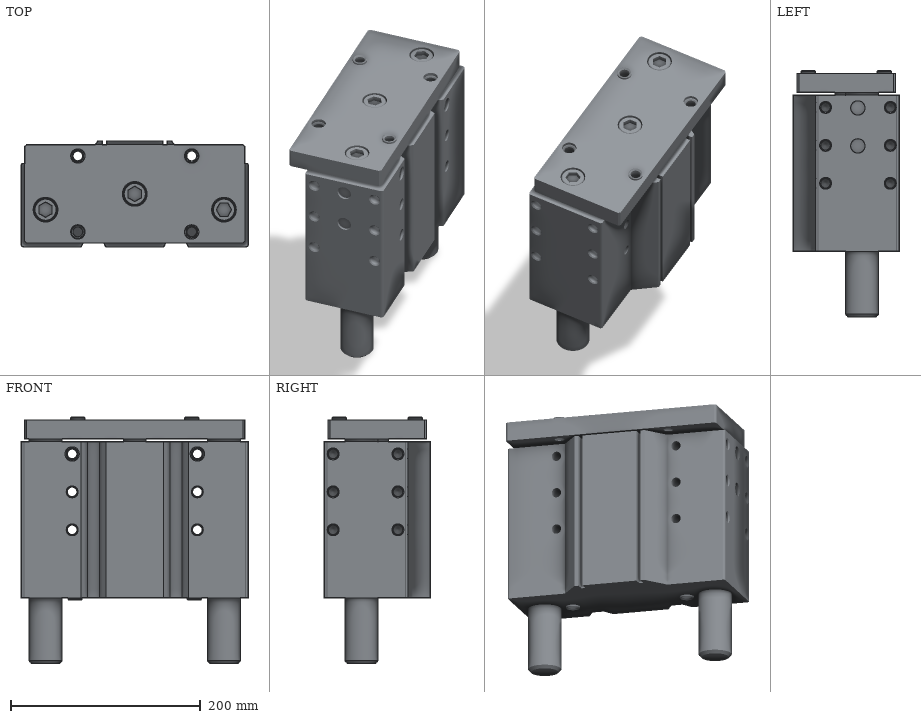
import cadquery as cq
import math

TOTAL_HEIGHT = 260.0
COLLAR_RISE = 2.9
PLATE_THICKNESS = 20.0
PLATE_GAP = 2.9
HOUSING_HEIGHT = 164.8
FOOT_COLLAR_RISE = 2.0
PLATE_TOP = TOTAL_HEIGHT - COLLAR_RISE
PLATE_BOTTOM = PLATE_TOP - PLATE_THICKNESS
HOUSING_TOP = PLATE_BOTTOM - PLATE_GAP
HOUSING_BOTTOM = HOUSING_TOP - HOUSING_HEIGHT

HOUSING_WIDTH = 240.0
HOUSING_DEPTH = 112.0
HALF_WIDTH = HOUSING_WIDTH / 2
FRONT_Y = -HOUSING_DEPTH / 2
BACK_Y = HOUSING_DEPTH / 2
FRONT_CORNER_RADIUS = 3.0
SHOULDER_Y = 32.2
SHOULDER_RADIUS = 2.3
RIDGE_HALF_WIDTH = 38.7
RIDGE_SLOPE_RUN = 17.7
GROOVE_OUTER_X = 56.7
GROOVE_FLOOR_OUTER_X = 49.6
GROOVE_FLOOR_INNER_X = 37.5
GROOVE_INNER_X = 30.5
GROOVE_DEPTH = 12.2
SENSOR_SLOT_X = 32.0
SENSOR_SLOT_WIDTH = 4.5
SENSOR_SLOT_DEPTH = 10.5

TAP_DIAMETER = 10.1
TAP_MOUTH_DIAMETER = 12.5
LOCATING_DIAMETER = 15.0
LOCATING_DEPTH = 3.0
HOLE_PITCH = 40.0
HOLE_ROW_COUNT = 3
TOP_ROW_DROP = 13.0
TOP_ROW_Z = HOUSING_TOP - TOP_ROW_DROP
FRONT_HOLE_X = 66.0
SIDE_HOLE_YS = (-46.5, 21.8)
SIDE_HOLE_DEPTH = 24.0
DRILL_TIP_ANGLE = 118.0
SIDE_HOLE_TIP = TAP_DIAMETER / 2 / math.tan(math.radians(DRILL_TIP_ANGLE / 2))
PORT_Y = -12.2
PORT_DROP = 0.5
PORT_DIAMETER = 15.0
PORT_DEPTH = 2.5
PORT_COUNT = 2
FOOT_COLLAR_X = 63.0
FOOT_BORE_DEPTH = 25.0

COLLAR_BORE_DIAMETER = 10.5
COLLAR_MOUTH_CHAMFER = 1.5
COLLAR_RIM_CHAMFER = 0.8

PLATE_WIDTH = 232.0
PLATE_DEPTH = 104.0
PLATE_CHAMFER = 2.0
PLATE_HOLE_X = 60.0
PLATE_HOLE_Y = 40.0

GUIDE_X = 94.0
GUIDE_Y = -16.6
GUIDE_DIAMETER = 35.0
GUIDE_CHAMFER = 3.0
PISTON_ROD_DIAMETER = 24.0
PISTON_ROD_DEPTH = 100.0
HEAD_DIAMETER = 24.0
HEAD_HEIGHT = 16.0
HEAD_CHAMFER = 0.8
COUNTERBORE_DIAMETER = 26.0
COUNTERBORE_DEPTH = 17.0
CLEARANCE_DIAMETER = 18.0
SHANK_DIAMETER = 16.6
SHANK_REACH = 26.0
HEX_ACROSS_FLATS = 14.0
HEX_SIDES = 6
HEX_DEPTH = 5.2

GUIDE_SPOTS = [(-GUIDE_X, GUIDE_Y), (GUIDE_X, GUIDE_Y)]
PISTON_SPOT = (0, 0)
SCREW_HEX_TURNS = [(GUIDE_SPOTS[0], 30), (PISTON_SPOT, 30), (GUIDE_SPOTS[1], 0)]
HEAD_SEAT_Z = PLATE_TOP - COUNTERBORE_DEPTH
ROW_HEIGHTS = [TOP_ROW_Z - row * HOLE_PITCH for row in range(HOLE_ROW_COUNT)]


def cylinder(x, y, bottom, top, diameter):
    """Upright cylinder between two levels."""
    return cq.Workplane("XY", origin=(x, y, bottom)).circle(diameter / 2).extrude(top - bottom)


def aimed_revolve(profile, point, direction):
    """Revolve a (radius, depth) profile about its depth axis, running from point along direction."""
    tool = cq.Workplane("XY").polyline(profile).close().revolve(360, (0, 0, 0), (0, 1, 0))
    upright_tool = tool.rotate((0, 0, 0), (1, 0, 0), 90).val()
    plane = cq.Plane(origin=point, normal=direction)
    return cq.Workplane(upright_tool.moved(cq.Location(plane)))


def tapped_hole(point, direction, depth, tip_depth=0.0):
    """Cutter for a tap-size bore with a 45 degree mouth chamfer and an optional conical tip."""
    radius = TAP_DIAMETER / 2
    mouth = TAP_MOUTH_DIAMETER / 2
    profile = [(0, 0), (mouth, 0), (radius, mouth - radius), (radius, depth), (0, depth + tip_depth)]
    return aimed_revolve(profile, point, direction)


def add_collar(body, base, direction, rise, bore_depth):
    """Add a bored locating collar standing on base; bore_depth counts from the collar rim."""
    outer = LOCATING_DIAMETER / 2
    bore = COLLAR_BORE_DIAMETER / 2
    ring_profile = [
        (0, 0),
        (outer, 0),
        (outer, rise - COLLAR_RIM_CHAMFER),
        (outer - COLLAR_RIM_CHAMFER, rise),
        (0, rise),
    ]
    bore_profile = [
        (0, rise),
        (bore + COLLAR_MOUTH_CHAMFER, rise),
        (bore, rise - COLLAR_MOUTH_CHAMFER),
        (bore, rise - bore_depth),
        (0, rise - bore_depth),
    ]
    body = body.union(aimed_revolve(ring_profile, base, direction))
    return body.cut(aimed_revolve(bore_profile, base, direction))


def housing_outline():
    """Right half of the cross-section, from the front centre to the back centre."""
    return [
        (0, FRONT_Y),
        (GROOVE_INNER_X, FRONT_Y),
        (GROOVE_FLOOR_INNER_X, FRONT_Y + GROOVE_DEPTH),
        (GROOVE_FLOOR_OUTER_X, FRONT_Y + GROOVE_DEPTH),
        (GROOVE_OUTER_X, FRONT_Y),
        (HALF_WIDTH, FRONT_Y),
        (HALF_WIDTH, SHOULDER_Y),
        (RIDGE_HALF_WIDTH + RIDGE_SLOPE_RUN, SHOULDER_Y),
        (RIDGE_HALF_WIDTH, BACK_Y),
        (0, BACK_Y),
    ]


def make_housing():
    """Grooved cylinder housing with all its bores, tapped holes, ports and foot collars."""
    half = housing_outline()
    mirrored = [(-x, y) for x, y in reversed(half[1:-1])]
    body = cq.Workplane("XY", origin=(0, 0, HOUSING_BOTTOM)).polyline(half + mirrored).close()
    body = body.extrude(HOUSING_HEIGHT)
    body = body.faces("<X or >X").edges("|Z").edges("<Y").fillet(FRONT_CORNER_RADIUS)
    body = body.faces("<X or >X").edges("|Z").edges(">Y").fillet(SHOULDER_RADIUS)

    for side in (-1, 1):
        slot = cq.Workplane("XY", origin=(side * SENSOR_SLOT_X, BACK_Y, HOUSING_BOTTOM))
        body = body.cut(slot.rect(SENSOR_SLOT_WIDTH, 2 * SENSOR_SLOT_DEPTH).extrude(HOUSING_HEIGHT))

    for x, y in GUIDE_SPOTS:
        body = body.cut(cylinder(x, y, HOUSING_BOTTOM, HOUSING_TOP, GUIDE_DIAMETER))
    body = body.cut(cylinder(*PISTON_SPOT, HOUSING_TOP - PISTON_ROD_DEPTH, HOUSING_TOP, PISTON_ROD_DIAMETER))

    for x in (-FRONT_HOLE_X, FRONT_HOLE_X):
        for z in ROW_HEIGHTS:
            recess = LOCATING_DEPTH if z == TOP_ROW_Z else 0
            body = body.cut(tapped_hole((x, FRONT_Y + recess, z), (0, 1, 0), HOUSING_DEPTH))
        recess_plane = cq.Workplane("XZ", origin=(x, FRONT_Y, TOP_ROW_Z))
        body = body.cut(recess_plane.circle(LOCATING_DIAMETER / 2).extrude(-LOCATING_DEPTH))

    for side in (-1, 1):
        for y in SIDE_HOLE_YS:
            for z in ROW_HEIGHTS:
                mouth = (side * HALF_WIDTH, y, z)
                body = body.cut(tapped_hole(mouth, (-side, 0, 0), SIDE_HOLE_DEPTH, SIDE_HOLE_TIP))

    for z in ROW_HEIGHTS[:PORT_COUNT]:
        port = cq.Workplane("YZ", origin=(-HALF_WIDTH, PORT_Y, z - PORT_DROP))
        body = body.cut(port.circle(PORT_DIAMETER / 2).extrude(PORT_DEPTH))

    for x in (-FOOT_COLLAR_X, FOOT_COLLAR_X):
        base = (x, GUIDE_Y, HOUSING_BOTTOM)
        body = add_collar(body, base, (0, 0, -1), FOOT_COLLAR_RISE, FOOT_BORE_DEPTH)
    return body


def make_plate():
    """Moving end plate carried by the three rods."""
    plate = cq.Workplane("XY", origin=(0, 0, PLATE_BOTTOM)).rect(PLATE_WIDTH, PLATE_DEPTH)
    plate = plate.extrude(PLATE_THICKNESS).edges("|Z").chamfer(PLATE_CHAMFER)

    for x, y in GUIDE_SPOTS + [PISTON_SPOT]:
        plate = plate.cut(cylinder(x, y, PLATE_BOTTOM, PLATE_TOP, CLEARANCE_DIAMETER))
        plate = plate.cut(cylinder(x, y, HEAD_SEAT_Z, PLATE_TOP, COUNTERBORE_DIAMETER))

    for x_side in (-1, 1):
        for y_side in (-1, 1):
            x = x_side * PLATE_HOLE_X
            y = y_side * PLATE_HOLE_Y
            if x_side == y_side:
                bore_depth = COLLAR_RISE + PLATE_THICKNESS
                plate = add_collar(plate, (x, y, PLATE_TOP), (0, 0, 1), COLLAR_RISE, bore_depth)
            else:
                seat_z = PLATE_TOP - LOCATING_DEPTH
                plate = plate.cut(cylinder(x, y, seat_z, PLATE_TOP, LOCATING_DIAMETER))
                plate = plate.cut(tapped_hole((x, y, seat_z), (0, 0, -1), PLATE_THICKNESS))
    return plate


def make_rod(spot, diameter, bottom):
    """Rod up to the underside of the plate with a bore for its screw."""
    rod = cylinder(*spot, bottom, PLATE_BOTTOM, diameter)
    return rod.cut(cylinder(*spot, PLATE_BOTTOM - SHANK_REACH, PLATE_BOTTOM, SHANK_DIAMETER))


def make_screw(spot, hex_turn):
    """Socket-head screw seated in the plate and reaching into a rod."""
    head = cylinder(*spot, HEAD_SEAT_Z, HEAD_SEAT_Z + HEAD_HEIGHT, HEAD_DIAMETER)
    head = head.faces(">Z").chamfer(HEAD_CHAMFER)
    screw = head.union(cylinder(*spot, PLATE_BOTTOM - SHANK_REACH, HEAD_SEAT_Z, SHANK_DIAMETER))
    hex_diameter = HEX_ACROSS_FLATS / math.cos(math.pi / HEX_SIDES)
    socket = cq.Workplane("XY", origin=(*spot, HEAD_SEAT_Z + HEAD_HEIGHT)).polygon(HEX_SIDES, hex_diameter)
    socket = socket.extrude(-HEX_DEPTH).rotate((*spot, 0), (*spot, 1), hex_turn)
    return screw.cut(socket)


housing = make_housing()
plate = make_plate()
piston_rod = make_rod(PISTON_SPOT, PISTON_ROD_DIAMETER, HOUSING_TOP - PISTON_ROD_DEPTH)
guide_rods = []
for spot in GUIDE_SPOTS:
    guide_rod = make_rod(spot, GUIDE_DIAMETER, 0)
    guide_rods.append(guide_rod.faces("<Z").chamfer(GUIDE_CHAMFER))
screws = [make_screw(spot, turn) for spot, turn in SCREW_HEX_TURNS]

result = cq.Compound.makeCompound(
    [housing.val(), plate.val(), piston_rod.val()]
    + [rod.val() for rod in guide_rods]
    + [screw.val() for screw in screws]
)